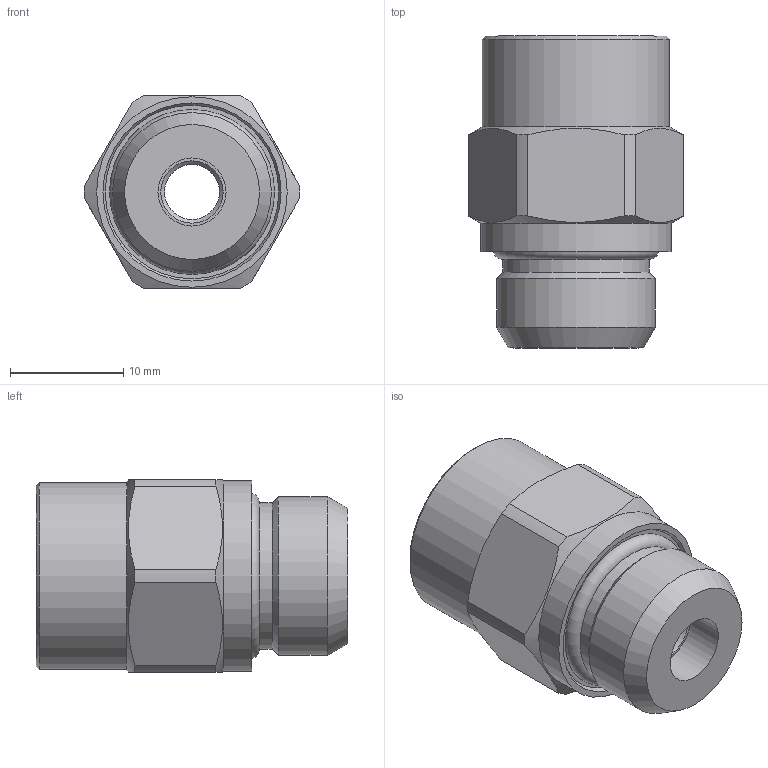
import cadquery as cq
import math


stud_length = 8.5
flange_length = 2.5
hexagon_length = 8.5
rear_length = 8.0
flange_rear = stud_length + flange_length
hexagon_rear = flange_rear + hexagon_length
total_length = hexagon_rear + rear_length

stud_diameter = 14.0
stud_tip_diameter = 11.9
lead_in_angle = math.radians(30)
undercut_diameter = 12.9
undercut_start = 6.13

flange_diameter = 16.8
rear_diameter = 16.5
rear_chamfer = 0.3

across_flats = 17.0
corner_diameter = 19.0
hexagon_chamfer_angle = math.radians(30)

recess_mouth_diameter = 15.7
recess_floor_diameter = 15.3
recess_depth = 0.35
lip_diameter = 14.55
lip_height = 0.7

wide_bore_diameter = 6.0
step_diameter = 5.5
through_diameter = 4.85
wide_bore_depth = 3.5
bore_cone_angle = math.radians(45)


def revolve_about_y(points):
    """Turn a closed (radius, y) outline into a solid about the Y axis."""
    return cq.Workplane("XY").polyline(points).close().revolve(360, (0, 0, 0), (0, 1, 0))


def make_stud():
    tip_radius = stud_tip_diameter / 2
    radius = stud_diameter / 2
    undercut_radius = undercut_diameter / 2
    lead_in_length = (radius - tip_radius) / math.tan(lead_in_angle)
    undercut_floor = undercut_start + radius - undercut_radius
    return revolve_about_y([
        (0, 0),
        (tip_radius, 0),
        (radius, lead_in_length),
        (radius, undercut_start),
        (undercut_radius, undercut_floor),
        (undercut_radius, flange_rear),
        (0, flange_rear),
    ])


def make_flange():
    """Flange disc with a slightly conical ring recess in its front face."""
    outer_radius = flange_diameter / 2
    recess_floor = stud_length + recess_depth
    return revolve_about_y([
        (outer_radius, stud_length),
        (outer_radius, flange_rear),
        (0, flange_rear),
        (0, recess_floor),
        (recess_floor_diameter / 2, recess_floor),
        (recess_mouth_diameter / 2, stud_length),
    ])


def make_seal_lip():
    """Rounded ring that stands on the recess floor and bulges out of the flange face."""
    inner_radius = undercut_diameter / 2
    outer_radius = lip_diameter / 2
    round_radius = outer_radius - inner_radius
    lip_front = stud_length - lip_height
    round_centre = lip_front + round_radius
    recess_floor = stud_length + recess_depth
    floor_offset = math.sqrt(round_radius ** 2 - (recess_floor - round_centre) ** 2)
    return (
        cq.Workplane("XY")
        .moveTo(0, lip_front)
        .lineTo(inner_radius, lip_front)
        .threePointArc((outer_radius, round_centre), (inner_radius + floor_offset, recess_floor))
        .lineTo(0, recess_floor)
        .close()
        .revolve(360, (0, 0, 0), (0, 1, 0))
    )


def make_hexagon():
    """Hexagonal prism with flats at top and bottom, trimmed by a turned blank with conical ends."""
    circumscribed_diameter = across_flats / math.cos(math.radians(30))
    prism = (
        cq.Workplane("XZ", origin=(0, flange_rear, 0))
        .polygon(6, circumscribed_diameter)
        .extrude(-hexagon_length)
    )
    flange_radius = flange_diameter / 2
    corner_radius = corner_diameter / 2
    rear_radius = rear_diameter / 2
    slope = math.tan(hexagon_chamfer_angle)
    blank = revolve_about_y([
        (0, flange_rear),
        (flange_radius, flange_rear),
        (corner_radius, flange_rear + (corner_radius - flange_radius) * slope),
        (corner_radius, hexagon_rear - (corner_radius - rear_radius) * slope),
        (rear_radius, hexagon_rear),
        (0, hexagon_rear),
    ])
    return prism.intersect(blank)


def make_rear_cylinder():
    radius = rear_diameter / 2
    return revolve_about_y([
        (0, hexagon_rear),
        (radius, hexagon_rear),
        (radius, total_length - rear_chamfer),
        (radius - rear_chamfer, total_length),
        (0, total_length),
    ])


def make_bore():
    wide_radius = wide_bore_diameter / 2
    step_radius = step_diameter / 2
    through_radius = through_diameter / 2
    cone_length = (step_radius - through_radius) / math.tan(bore_cone_angle)
    return revolve_about_y([
        (0, 0),
        (wide_radius, 0),
        (wide_radius, wide_bore_depth),
        (step_radius, wide_bore_depth),
        (through_radius, wide_bore_depth + cone_length),
        (through_radius, total_length),
        (0, total_length),
    ])


body = make_stud().union(make_flange()).union(make_seal_lip())
body = body.union(make_hexagon()).union(make_rear_cylinder())
result = body.cut(make_bore())